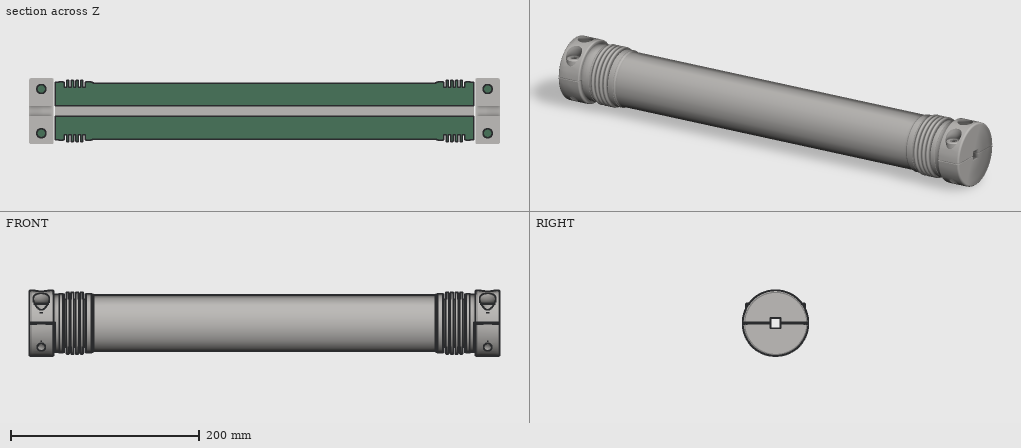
import cadquery as cq
import math


length = 500.0
half_length = length / 2
tube_radius = 30.0
bore_side = 10.5

clamp_radius = 35.0
clamp_length = 26.0
front_fillet = 2.0
back_fillet = 1.5
split_gap = 1.5
lower_clamp_clearance = 1.5
pocket_diameter = 17.0
pocket_floor_height = 31.0

screw_distance = 13.0
screw_offset = 23.5
counterbore_diameter = 17.0
counterbore_floor_height = 11.0
head_diameter = 16.0
head_height = 10.0
head_chamfer = 1.0
socket_across_corners = 8.5
socket_depth = 5.0
socket_cone_depth = 2.0
socket_inner_radius = socket_across_corners / 2 * math.cos(math.pi / 6)
shank_diameter = 10.0
shank_length = 30.0
clearance_hole_diameter = 10.5
tapped_hole_diameter = 8.5

lip_radius = 30.75
band_radius = 31.25
hub_lip_end = 32.0
hub_band_end = 36.0
tube_band_start = 60.5
tube_band_end = 66.0
tube_lip_end = 67.0
tube_taper_end = 68.5

bellows_start = 37.5
crown_count = 4
crown_pitch = 5.0
gap_width = 2.0
crown_radius = 33.0
root_radius = 25.5
crown_width = crown_pitch - gap_width
bellows_end = bellows_start + crown_count * crown_pitch + gap_width


def bar(diameter, y, bottom, top):
    """Vertical round bar at the clamp screw distance, at the left end."""
    return (
        cq.Workplane("XY", origin=(screw_distance - half_length, y, bottom))
        .circle(diameter / 2)
        .extrude(top - bottom)
    )


def make_body():
    """Left half of the hub, bellows and tube, revolved about X up to the middle."""
    profile = (
        cq.Workplane("XY", origin=(-half_length, 0, 0))
        .moveTo(clamp_length, 0)
        .lineTo(clamp_length, lip_radius)
        .lineTo(hub_lip_end, lip_radius)
        .lineTo(hub_lip_end, band_radius)
        .lineTo(hub_band_end, band_radius)
        .lineTo(hub_band_end, lip_radius)
        .lineTo(bellows_start, lip_radius)
        .lineTo(bellows_start, root_radius)
    )
    shoulder_radius = crown_radius - crown_width / 2
    for crown in range(crown_count):
        crown_start = bellows_start + gap_width + crown * crown_pitch
        crown_end = crown_start + crown_width
        profile = (
            profile.lineTo(crown_start, root_radius)
            .lineTo(crown_start, shoulder_radius)
            .threePointArc((crown_start + crown_width / 2, crown_radius), (crown_end, shoulder_radius))
            .lineTo(crown_end, root_radius)
        )
    profile = (
        profile.lineTo(bellows_end, root_radius)
        .lineTo(bellows_end, lip_radius)
        .lineTo(tube_band_start, lip_radius)
        .lineTo(tube_band_start, band_radius)
        .lineTo(tube_band_end, band_radius)
        .lineTo(tube_band_end, lip_radius)
        .lineTo(tube_lip_end, lip_radius)
        .lineTo(tube_taper_end, tube_radius)
        .lineTo(half_length, tube_radius)
        .lineTo(half_length, 0)
        .close()
    )
    return profile.revolve(360, (0, 0, 0), (1, 0, 0))


def make_clamp():
    """Clamp disc in two halves: the upper one joins the hub, the lower one hangs on the screws."""
    clamp = (
        cq.Workplane("YZ", origin=(-half_length, 0, 0))
        .circle(clamp_radius)
        .extrude(clamp_length)
        .edges("<X")
        .fillet(front_fillet)
        .edges(">X")
        .fillet(back_fillet)
    )
    split = cq.Workplane("XY", origin=(-half_length, 0, 0)).box(
        clamp_length, 2 * clamp_radius, split_gap, centered=(False, True, True)
    )
    pocket = bar(pocket_diameter, 0, pocket_floor_height, clamp_radius)
    return clamp.cut(split).cut(pocket)


def make_lower_clearance():
    """Narrow space between the lower clamp half and the hub."""
    bottom = split_gap / 2 - clamp_radius
    return cq.Workplane("XY", origin=(clamp_length - half_length, 0, bottom)).box(
        lower_clamp_clearance, 2 * clamp_radius, clamp_radius, centered=(False, True, False)
    )


def cut_screw_holes(body, y):
    """Counterbore and clearance hole in the upper half, tapped hole through the lower half."""
    body = body.cut(bar(counterbore_diameter, y, counterbore_floor_height, clamp_radius))
    body = body.cut(bar(clearance_hole_diameter, y, 0, counterbore_floor_height))
    return body.cut(bar(tapped_hole_diameter, y, -clamp_radius, 0))


def make_screw(y):
    """Cap screw seated in its counterbore, with a hexagon socket that ends in a cone."""
    head_top = counterbore_floor_height + head_height
    socket_floor = head_top - socket_depth
    cone_tip = socket_floor - socket_cone_depth
    head = bar(head_diameter, y, counterbore_floor_height, head_top).faces(">Z").chamfer(head_chamfer)
    socket = (
        cq.Workplane("XY", origin=(screw_distance - half_length, y, socket_floor))
        .polygon(6, socket_across_corners)
        .extrude(socket_depth)
    )
    socket_cone = cq.Workplane(
        cq.Solid.makeCone(
            0,
            socket_inner_radius,
            socket_cone_depth,
            pnt=cq.Vector(screw_distance - half_length, y, cone_tip),
        )
    )
    shank = bar(shank_diameter, y, counterbore_floor_height - shank_length, counterbore_floor_height)
    return head.cut(socket).cut(socket_cone).union(shank)


left_half = make_body().union(make_clamp()).cut(make_lower_clearance())
for screw_y in (-screw_offset, screw_offset):
    left_half = cut_screw_holes(left_half, screw_y).union(make_screw(screw_y))

right_half = left_half.mirror("YZ")
bore = cq.Workplane("YZ", origin=(-half_length, 0, 0)).rect(bore_side, bore_side).extrude(length)

result = left_half.union(right_half).cut(bore)